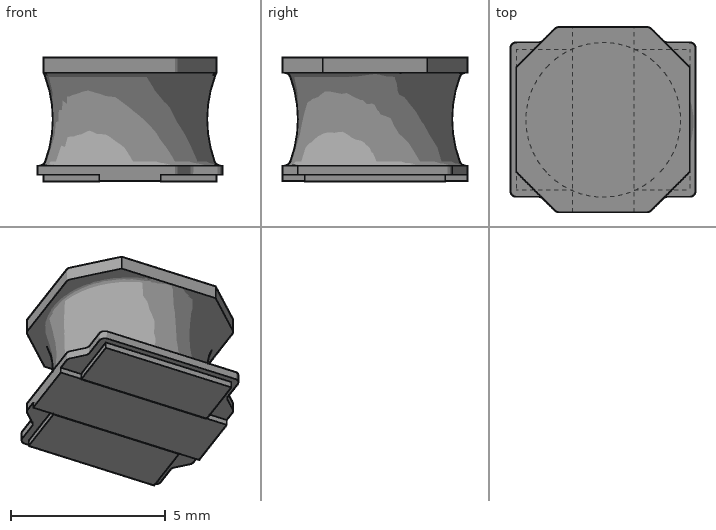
import cadquery as cq

total_height = 4.02
standoff = 0.02
pad_thickness = 0.22
flange_thickness = 0.3
plate_thickness = 0.5

flange_length = 6.0
flange_width = 5.005
plate_length = 5.605
plate_width = 6.0
plate_corner_cut = 1.3
edge_radius = 0.2

waist_radius = 2.5
neck_end_radius = 2.795

pad_length = 1.8
pad_width = 4.535
pad_center_x = plate_length / 2 - pad_length / 2
keel_length = plate_length - 2 * pad_length

flange_bottom = pad_thickness
flange_top = flange_bottom + flange_thickness
plate_bottom = total_height - plate_thickness
waist_height = (flange_top + plate_bottom) / 2


def box(length, width, bottom, height):
    """Box centred on the Z axis, standing on the given bottom level."""
    return cq.Workplane("XY").workplane(offset=bottom).rect(length, width).extrude(height)


def octagon(bottom, height):
    """Slab with four corners cut at 45 degrees."""
    return box(plate_length, plate_width, bottom, height).edges("|Z").chamfer(plate_corner_cut)


def round_front_and_back(slab):
    """Round the vertical edges that bound the slab's front and back faces."""
    return slab.faces("<Y or >Y").edges("|Z").fillet(edge_radius)


def make_plate():
    """Octagonal top plate."""
    return round_front_and_back(octagon(plate_bottom, plate_thickness))


def make_flange():
    """Octagon joined with a wide rectangle whose corners stick out as tabs."""
    tabs = box(flange_length, flange_width, flange_bottom, flange_thickness)
    tabs = tabs.edges("|Z").fillet(edge_radius)
    flange = round_front_and_back(octagon(flange_bottom, flange_thickness)).union(tabs)

    inner_y = flange_width / 2
    inner_x = plate_length / 2 + plate_width / 2 - plate_corner_cut - inner_y
    for side_x in (-1, 1):
        for side_y in (-1, 1):
            corner = (side_x * inner_x, side_y * inner_y, flange_bottom + flange_thickness / 2)
            flange = flange.edges(cq.NearestToPointSelector(corner)).fillet(edge_radius)
    return flange


def make_neck():
    """Solid of revolution that narrows along an arc to the waist."""
    return (
        cq.Workplane("YZ")
        .moveTo(0, flange_top)
        .lineTo(neck_end_radius, flange_top)
        .threePointArc((waist_radius, waist_height), (neck_end_radius, plate_bottom))
        .lineTo(0, plate_bottom)
        .close()
        .revolve(360, (0, 0), (0, 1))
    )


def round_neck_end(core, level):
    """Blend the neck into the slab it meets at the given level."""
    return core.edges("%CIRCLE").edges(cq.NearestToPointSelector((0, 0, level))).fillet(edge_radius)


def make_core():
    """Plate, neck and flange in one piece, with a keel between the pads."""
    keel = box(keel_length, plate_width, standoff, flange_bottom - standoff)
    core = make_flange().union(keel).union(make_neck()).union(make_plate())
    for level in (flange_top, plate_bottom):
        core = round_neck_end(core, level)
    return core


def make_pad(side_x):
    """Terminal pad under the flange, on the -X or +X side of the keel."""
    return box(pad_length, pad_width, 0, pad_thickness).translate((side_x * pad_center_x, 0, 0))


core = make_core()
pads = [make_pad(side_x) for side_x in (-1, 1)]
result = cq.Compound.makeCompound([core.val(), *[pad.val() for pad in pads]])